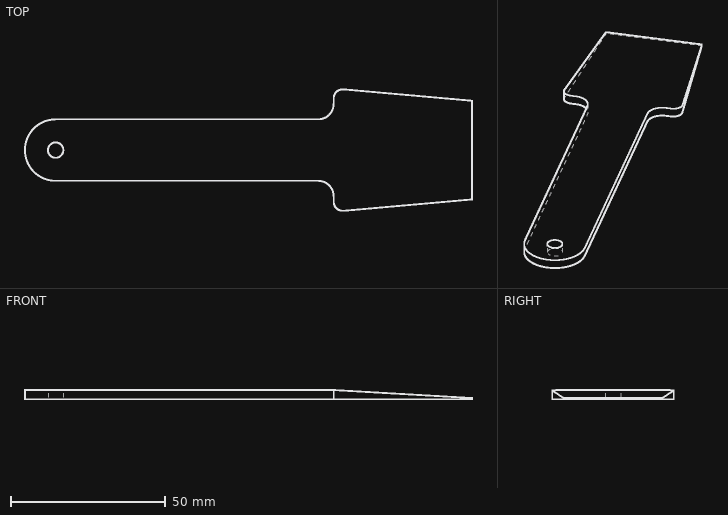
import cadquery as cq

total_length = 145.0
handle_length = 100.0
handle_width = 20.0
hole_diameter = 5.0
blade_root_width = 40.0
blade_tip_width = 32.0
neck_fillet = 5.0
blade_corner_radius = 3.0
thickness = 3.0
tip_thickness = 0.5

handle_radius = handle_width / 2


def make_handle():
    """Flat bar with a round end at X = 0, running up to the blade."""
    return (
        cq.Workplane("XY")
        .moveTo(handle_length, -handle_radius)
        .lineTo(handle_radius, -handle_radius)
        .threePointArc((0, 0), (handle_radius, handle_radius))
        .lineTo(handle_length, handle_radius)
        .close()
        .extrude(thickness)
    )


def make_blade():
    """Flat blade that narrows toward the tip."""
    root = blade_root_width / 2
    tip = blade_tip_width / 2
    return (
        cq.Workplane("XY")
        .polyline([
            (handle_length, -root),
            (total_length, -tip),
            (total_length, tip),
            (handle_length, root),
        ])
        .close()
        .extrude(thickness)
    )


def make_bevel_cutter():
    """Wedge that slopes the blade's top face down to the thin tip."""
    return (
        cq.Workplane("XZ")
        .polyline([
            (handle_length, thickness),
            (total_length, thickness),
            (total_length, tip_thickness),
        ])
        .close()
        .extrude(blade_root_width / 2, both=True)
    )


def edges_at_blade_root(body, y):
    """Select the vertical edges where the blade root meets +y and -y."""
    middle = thickness / 2
    return (
        body.edges(cq.selectors.NearestToPointSelector((handle_length, y, middle)))
        .add(body.edges(cq.selectors.NearestToPointSelector((handle_length, -y, middle))))
    )


body = make_handle().union(make_blade())
body = edges_at_blade_root(body, handle_radius).fillet(neck_fillet)
body = edges_at_blade_root(body, blade_root_width / 2).fillet(blade_corner_radius)
body = body.cut(make_bevel_cutter())

hanging_hole = (
    cq.Workplane("XY")
    .center(handle_radius, 0)
    .circle(hole_diameter / 2)
    .extrude(thickness)
)
result = body.cut(hanging_hole)